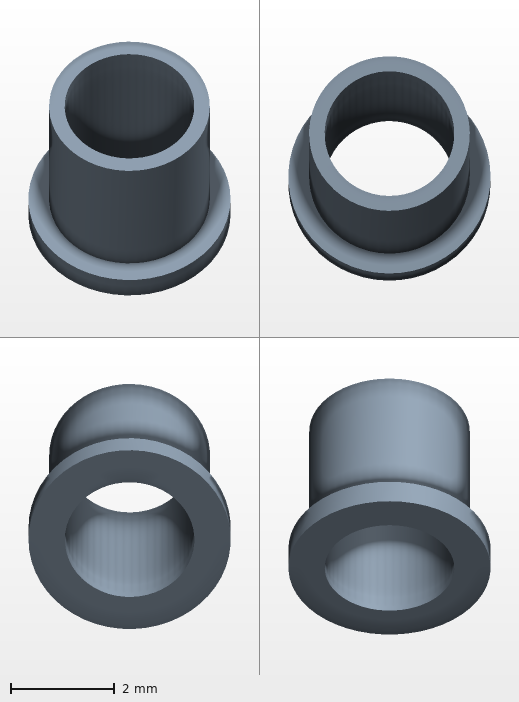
import cadquery as cq

flange_diameter = 3.9
sleeve_diameter = 3.1
bore_diameter = 2.5
total_height = 3.5
flange_thickness = 0.5

flange = cq.Workplane("XY").circle(flange_diameter / 2).extrude(flange_thickness)
sleeve = cq.Workplane("XY").circle(sleeve_diameter / 2).extrude(total_height)
bore = cq.Workplane("XY").circle(bore_diameter / 2).extrude(total_height)

result = flange.union(sleeve).cut(bore)